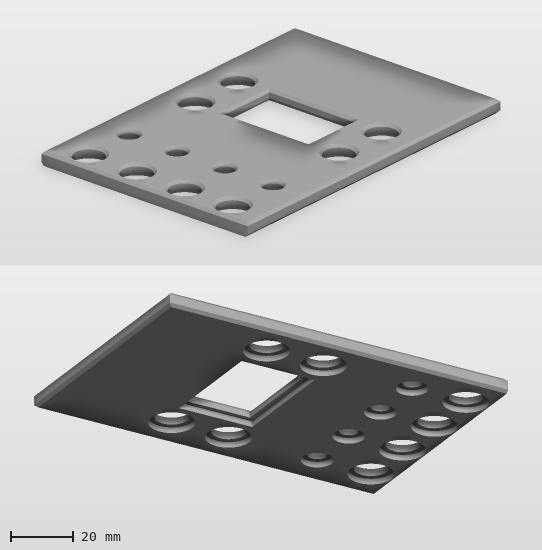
import cadquery as cq
width = 86.0
length = 125.0
thickness = 5.0
bevel = 1.0

large_diameter = 11.0
small_diameter = 6.5
window_width = 35.5
window_length = 23.0
window_y = 8.9
step_depth = 2.0
step_overhang = 2.0

column_count = 4
column_pitch = 20.0
column_xs = [(index - (column_count - 1) / 2) * column_pitch for index in range(column_count)]
side_xs = [column_xs[0], column_xs[-1]]
bottom_row_y = -54.5
small_row_y = -34.6
side_pitch = 21.0
lower_side_y = -1.9
side_ys = [lower_side_y, lower_side_y + side_pitch]

large_points = [(x, bottom_row_y) for x in column_xs]
large_points += [(x, y) for x in side_xs for y in side_ys]
small_points = [(x, small_row_y) for x in column_xs]


def openings(margin, height):
    """Cutters for all openings, grown sideways by margin and rising from Z = 0."""
    base = cq.Workplane("XY")
    large = base.pushPoints(large_points).circle(large_diameter / 2 + margin).extrude(height)
    small = base.pushPoints(small_points).circle(small_diameter / 2 + margin).extrude(height)
    window = (
        base.center(0, window_y)
        .rect(window_width + 2 * margin, window_length + 2 * margin)
        .extrude(height)
    )
    return large.add(small).add(window).combine()


panel = cq.Workplane("XY").box(width, length, thickness, centered=(True, True, False))

panel = panel.faces("<Z").edges("not <Y").chamfer(bevel)
panel = panel.cut(openings(0, thickness))
panel = panel.faces(">Z").edges().chamfer(bevel)

result = panel.cut(openings(step_overhang, step_depth))